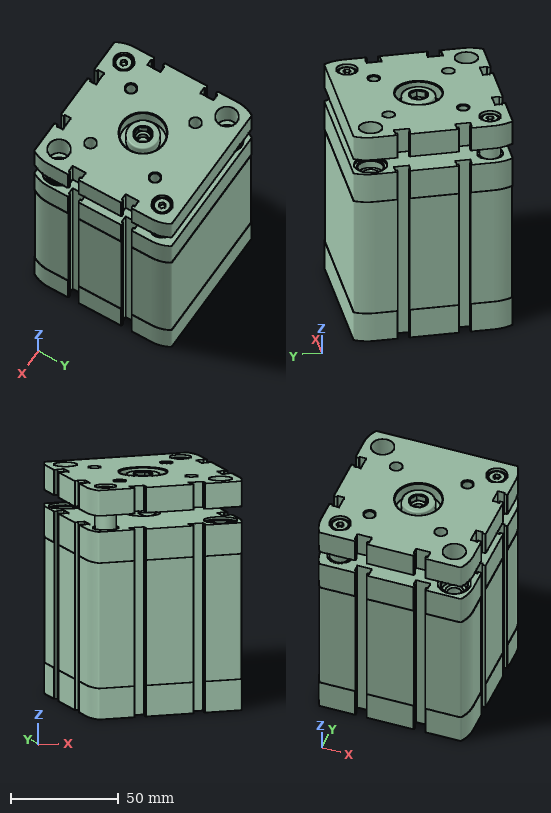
import cadquery as cq
import math

WIDTH = 75.5
HALF_WIDTH = WIDTH / 2
TOTAL_HEIGHT = 108.5

PLATE_THICKNESS = 12.0
GAP = 7.6
CAP_HEIGHT = 14.8
PLATE_BOTTOM = TOTAL_HEIGHT - PLATE_THICKNESS
BODY_TOP = PLATE_BOTTOM - GAP

CORNER_ARC_START = 28.3
CORNER_ARC_RADIUS = 18.0
CORNER_FILLET = 1.1
TUBE_INSET = 0.16

SLOT_OFFSET = 14.5
SLOT_OPENING = 5.4
SLOT_INNER_WIDTH = 7.2
SLOT_DEPTH = 5.1
SLOT_LIP = 1.7
SLOT_EDGE_CHAMFER = 0.3

CORNER_AXIS = 28.3
ROD_AXES = [(CORNER_AXIS, CORNER_AXIS), (-CORNER_AXIS, -CORNER_AXIS)]
SCREW_AXES = [(-CORNER_AXIS, CORNER_AXIS), (CORNER_AXIS, -CORNER_AXIS)]

ROD_DIAMETER = 10.0
ROD_INSERTION = 54.2
ROD_RECESS_DIAMETER = 12.0
ROD_RECESS_DEPTH = 0.5

ROD_END_RECESS_DEPTH = 1.7
ROD_END_DIAMETER = 8.5
ROD_END_HEIGHT = 0.9
ROD_END_CHAMFER = 0.4
ROD_END_HEX = 3.0
ROD_END_HEX_DEPTH = 2.2
ROD_END_HEX_TURN = 15.0

ACCESS_DIAMETER = 11.0
MOUNT_RECESS_DIAMETER = 15.5
MOUNT_RECESS_DEPTH = 1.1
MOUNT_BORE_DIAMETER = 12.0
MOUNT_BORE_DEPTH = 5.0
MOUNT_BORE_CHAMFER = 0.4
MOUNT_HOLE_DIAMETER = 6.6
MOUNT_HOLE_MOUTH_DIAMETER = 8.5

BOLT_CIRCLE_DIAMETER = 50.0
BOLT_HOLE_DIAMETER = 6.0
THREAD_DIAMETER = 5.0

CENTER_RECESS_DIAMETER = 22.0
CENTER_RECESS_DEPTH = 7.0
CENTER_RECESS_CHAMFER = 0.4

PISTON_ROD_DIAMETER = 16.0
PISTON_ROD_SETBACK = 1.0
PISTON_ROD_TOP = TOTAL_HEIGHT - PISTON_ROD_SETBACK
PISTON_ROD_INSERTION = 54.2
PISTON_ROD_FILLET = 0.9
FLAT_WIDTH = 13.0
FLAT_CLEARANCE = 1.4
HEX_SOCKET = 7.5
HEX_SOCKET_DEPTH = 3.4
HEX_SOCKET_MOUTH_DIAMETER = 9.2
DRILL_DIAMETER = 5.0
DRILL_DEPTH = 3.3
CONE_HALF_ANGLE = 60.0


def cylinder(diameter, bottom, top, axis=(0, 0)):
    """Upright cylinder between two heights."""
    return cq.Workplane("XY", origin=(*axis, bottom)).circle(diameter / 2).extrude(top - bottom)


def cone(bottom_diameter, top_diameter, bottom, top, axis=(0, 0)):
    """Upright cone, pointed where a diameter is zero."""
    solid = cq.Solid.makeCone(
        bottom_diameter / 2, top_diameter / 2, top - bottom, pnt=cq.Vector(*axis, bottom)
    )
    return cq.Workplane(obj=solid)


def hexagon(across_flats, bottom, top, axis=(0, 0), turn=0.0):
    """Upright hexagonal prism with a corner on +X, turned about its axis."""
    across_corners = across_flats / math.cos(math.pi / 6)
    plane = cq.Workplane("XY", origin=(*axis, bottom)).transformed(rotate=(0, 0, turn))
    return plane.polygon(6, across_corners).extrude(top - bottom)


def profile_block(bottom, top, inset=0.0):
    """Square block whose X sides curve inward toward the corners."""
    side = HALF_WIDTH - inset
    radius = CORNER_ARC_RADIUS - inset
    arc_center_x = HALF_WIDTH - CORNER_ARC_RADIUS
    arc_angle = math.asin((side - CORNER_ARC_START) / radius)
    corner_x = arc_center_x + radius * math.cos(arc_angle)
    middle_x = arc_center_x + radius * math.cos(arc_angle / 2)
    middle_y = CORNER_ARC_START + radius * math.sin(arc_angle / 2)
    return (
        cq.Workplane("XY", origin=(0, 0, bottom))
        .moveTo(side, -CORNER_ARC_START)
        .lineTo(side, CORNER_ARC_START)
        .threePointArc((middle_x, middle_y), (corner_x, side))
        .lineTo(-corner_x, side)
        .threePointArc((-middle_x, middle_y), (-side, CORNER_ARC_START))
        .lineTo(-side, -CORNER_ARC_START)
        .threePointArc((-middle_x, -middle_y), (-corner_x, -side))
        .lineTo(corner_x, -side)
        .threePointArc((middle_x, -middle_y), (side, -CORNER_ARC_START))
        .close()
        .extrude(top - bottom)
        .faces("<Y or >Y")
        .edges("|Z")
        .fillet(CORNER_FILLET)
    )


def slot_cutter(offset, turn):
    """Full-height T-slot opening on the -Y side, then turned about Z to another side."""
    face = -HALF_WIDTH
    lip_end = face + SLOT_LIP
    half_opening = SLOT_OPENING / 2
    half_mouth = half_opening + SLOT_EDGE_CHAMFER
    half_inner = SLOT_INNER_WIDTH / 2
    return (
        cq.Workplane("XY")
        .moveTo(offset - half_mouth, face)
        .lineTo(offset - half_opening, face + SLOT_EDGE_CHAMFER)
        .lineTo(offset - half_opening, lip_end)
        .lineTo(offset - half_inner, lip_end)
        .lineTo(offset - half_inner, face + SLOT_DEPTH)
        .lineTo(offset + half_inner, face + SLOT_DEPTH)
        .lineTo(offset + half_inner, lip_end)
        .lineTo(offset + half_opening, lip_end)
        .lineTo(offset + half_opening, face + SLOT_EDGE_CHAMFER)
        .lineTo(offset + half_mouth, face)
        .close()
        .extrude(TOTAL_HEIGHT)
        .rotate((0, 0, 0), (0, 0, 1), turn)
    )


def cut_slots(block):
    """Cut two T-slots into the -Y, +X and -X sides; the +Y side stays plain."""
    for turn in (0, 90, -90):
        for offset in (-SLOT_OFFSET, SLOT_OFFSET):
            block = block.cut(slot_cutter(offset, turn))
    return block


def make_housing():
    """Slightly inset tube between two end caps, bored for the rods and mounting screws."""
    tube_top = BODY_TOP - CAP_HEIGHT
    housing = (
        profile_block(0, CAP_HEIGHT)
        .union(profile_block(CAP_HEIGHT, tube_top, TUBE_INSET))
        .union(profile_block(tube_top, BODY_TOP))
    )
    housing = cut_slots(housing)

    housing = housing.cut(cylinder(PISTON_ROD_DIAMETER, BODY_TOP - PISTON_ROD_INSERTION, BODY_TOP))

    for axis in ROD_AXES:
        housing = housing.cut(cylinder(ROD_DIAMETER, BODY_TOP - ROD_INSERTION, BODY_TOP, axis))
        housing = housing.cut(
            cylinder(ROD_RECESS_DIAMETER, BODY_TOP - ROD_RECESS_DEPTH, BODY_TOP, axis)
        )

    recess_floor = BODY_TOP - MOUNT_RECESS_DEPTH
    bore_floor = BODY_TOP - MOUNT_BORE_DEPTH
    mouth_depth = (MOUNT_HOLE_MOUTH_DIAMETER - MOUNT_HOLE_DIAMETER) / 2
    mouth_floor = bore_floor - mouth_depth
    rim_diameter = MOUNT_BORE_DIAMETER + 2 * MOUNT_BORE_CHAMFER
    rim_floor = recess_floor - MOUNT_BORE_CHAMFER
    for axis in SCREW_AXES:
        housing = (
            housing.cut(cylinder(MOUNT_RECESS_DIAMETER, recess_floor, BODY_TOP, axis))
            .cut(cone(MOUNT_BORE_DIAMETER, rim_diameter, rim_floor, recess_floor, axis))
            .cut(cylinder(MOUNT_BORE_DIAMETER, bore_floor, recess_floor, axis))
            .cut(cone(MOUNT_HOLE_DIAMETER, MOUNT_HOLE_MOUTH_DIAMETER, mouth_floor, bore_floor, axis))
            .cut(cylinder(MOUNT_HOLE_DIAMETER, 0, BODY_TOP, axis))
        )
    return housing


def make_plate():
    """End plate with its slots, central recess and holes."""
    plate = cut_slots(profile_block(PLATE_BOTTOM, TOTAL_HEIGHT))

    rim_diameter = CENTER_RECESS_DIAMETER + 2 * CENTER_RECESS_CHAMFER
    plate = plate.cut(
        cylinder(CENTER_RECESS_DIAMETER, TOTAL_HEIGHT - CENTER_RECESS_DEPTH, TOTAL_HEIGHT)
    )
    plate = plate.cut(
        cone(CENTER_RECESS_DIAMETER, rim_diameter, TOTAL_HEIGHT - CENTER_RECESS_CHAMFER, TOTAL_HEIGHT)
    )

    for axis in SCREW_AXES:
        plate = plate.cut(cylinder(ACCESS_DIAMETER, PLATE_BOTTOM, TOTAL_HEIGHT, axis))

    bolt = BOLT_CIRCLE_DIAMETER / 2 * math.cos(math.pi / 4)
    for axis in [(-bolt, bolt), (bolt, -bolt)]:
        plate = plate.cut(cylinder(BOLT_HOLE_DIAMETER, PLATE_BOTTOM, TOTAL_HEIGHT, axis))
    countersink_depth = (BOLT_HOLE_DIAMETER - THREAD_DIAMETER) / 2
    for axis in [(bolt, bolt), (-bolt, -bolt)]:
        plate = plate.cut(cylinder(THREAD_DIAMETER, PLATE_BOTTOM, TOTAL_HEIGHT, axis))
        plate = plate.cut(
            cone(THREAD_DIAMETER, BOLT_HOLE_DIAMETER, TOTAL_HEIGHT - countersink_depth, TOTAL_HEIGHT, axis)
        )
    return plate


def add_guide_rod(carriage, axis):
    """Guide rod under the plate and its hexagon-socket end in a recess of the plate."""
    recess_floor = TOTAL_HEIGHT - ROD_END_RECESS_DEPTH
    end_top = recess_floor + ROD_END_HEIGHT
    rod_end = cylinder(ROD_END_DIAMETER, recess_floor, end_top, axis)
    rod_end = rod_end.faces(">Z").edges().chamfer(ROD_END_CHAMFER)
    socket = hexagon(ROD_END_HEX, end_top - ROD_END_HEX_DEPTH, end_top, axis, ROD_END_HEX_TURN)
    return (
        carriage.cut(cylinder(ROD_DIAMETER, recess_floor, TOTAL_HEIGHT, axis))
        .union(cylinder(ROD_DIAMETER, BODY_TOP - ROD_INSERTION, PLATE_BOTTOM, axis))
        .union(rod_end)
        .cut(socket)
    )


def make_piston_rod():
    """Piston rod with a rounded top edge and two wrench flats."""
    rod = cylinder(PISTON_ROD_DIAMETER, BODY_TOP - PISTON_ROD_INSERTION, PISTON_ROD_TOP)
    rod = rod.faces(">Z").edges().fillet(PISTON_ROD_FILLET)

    flat_y = FLAT_WIDTH / 2
    flat_bottom = BODY_TOP + FLAT_CLEARANCE
    flat_depth = PISTON_ROD_DIAMETER / 2 - flat_y
    for side in (-1, 1):
        flat = (
            cq.Workplane("YZ")
            .moveTo(side * flat_y, flat_bottom)
            .lineTo(side * flat_y, PLATE_BOTTOM)
            .lineTo(side * (flat_y + flat_depth), PLATE_BOTTOM)
            .lineTo(side * (flat_y + flat_depth), flat_bottom - flat_depth)
            .close()
            .extrude(PISTON_ROD_DIAMETER / 2, both=True)
        )
        rod = rod.cut(flat)
    return rod


def cut_hex_socket(carriage):
    """Chamfered hexagon socket in the piston rod, with a conical floor and a drilled center."""
    across_corners = HEX_SOCKET / math.cos(math.pi / 6)
    mouth_depth = (HEX_SOCKET_MOUTH_DIAMETER - across_corners) / 2
    socket_floor = PISTON_ROD_TOP - HEX_SOCKET_DEPTH
    drill_floor = socket_floor - DRILL_DEPTH
    slope = math.tan(math.radians(CONE_HALF_ANGLE))
    floor_depth = HEX_SOCKET / 2 / slope
    point_depth = DRILL_DIAMETER / 2 / slope
    return (
        carriage.cut(hexagon(HEX_SOCKET, socket_floor, PISTON_ROD_TOP))
        .cut(cone(across_corners, HEX_SOCKET_MOUTH_DIAMETER, PISTON_ROD_TOP - mouth_depth, PISTON_ROD_TOP))
        .cut(cone(0, HEX_SOCKET, socket_floor - floor_depth, socket_floor))
        .cut(cylinder(DRILL_DIAMETER, drill_floor, socket_floor))
        .cut(cone(0, DRILL_DIAMETER, drill_floor - point_depth, drill_floor))
    )


def make_carriage():
    """Moving unit: end plate, two guide rods and the piston rod in one piece."""
    carriage = make_plate().union(make_piston_rod())
    for axis in ROD_AXES:
        carriage = add_guide_rod(carriage, axis)
    return cut_hex_socket(carriage)


housing = make_housing()
carriage = make_carriage()

result = cq.Compound.makeCompound([housing.solids().val(), carriage.solids().val()])